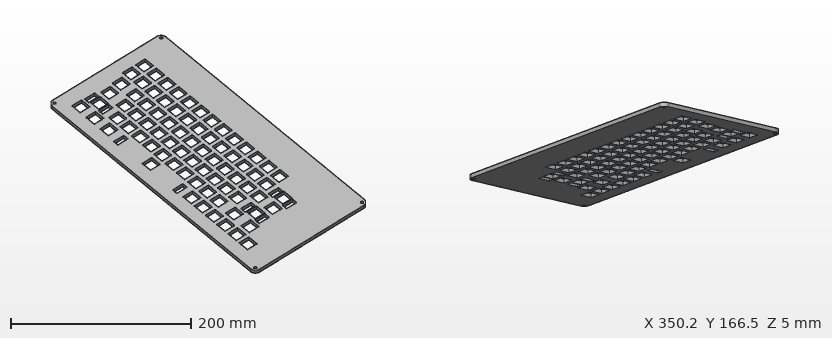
import cadquery as cq

plate_length = 350.2
plate_width = 166.5
plate_thickness = 5.0
corner_radius = 7.0

screw_diameter = 3.4
screw_inset = 5.0

grid_length = 305.0
grid_length_in_keys = 16
key_unit = grid_length / grid_length_in_keys
switch_size = 14.0
grid_left_edge = -159.5
top_row_y = 36.0

stabilizer_width = 7.0
stabilizer_height = 14.7
stabilizer_drop = 1.23
short_stabilizer_reach = 12.0
space_stabilizer_reach = 50.0

stabilized_key_width = 2
space_bar_width = 6.25

key_rows = [
    [1] * 13,
    [1] * 13 + [2],
    [1.5] + [1] * 12 + [1.5],
    [1.75] + [1] * 11 + [2.25],
    [2.25] + [1] * 10 + [1.75, 1],
    [1.25] * 3 + [space_bar_width] + [1] * 6,
]


def key_positions():
    """List the (x, y, width in key units) of every key."""
    keys = []
    for row, widths in enumerate(key_rows):
        y = top_row_y - row * key_unit
        left_edge = grid_left_edge
        for width in widths:
            keys.append((left_edge + width * key_unit / 2, y, width))
            left_edge += width * key_unit
    return keys


def stabilizer_positions(keys):
    """List the centres of the cutouts on both sides of each wide key."""
    centres = []
    for x, y, width in keys:
        if width < stabilized_key_width:
            continue
        reach = space_stabilizer_reach if width == space_bar_width else short_stabilizer_reach
        for side in (-1, 1):
            centres.append((x + side * reach, y - stabilizer_drop))
    return centres


def make_plate():
    """Make the flat plate with rounded corners and its screw holes."""
    return (
        cq.Workplane("XY")
        .box(plate_length, plate_width, plate_thickness)
        .edges("|Z")
        .fillet(corner_radius)
        .faces(">Z")
        .workplane()
        .rect(plate_length - 2 * screw_inset, plate_width - 2 * screw_inset, forConstruction=True)
        .vertices()
        .hole(screw_diameter)
    )


def cut_windows(body, centres, length, width):
    """Cut equal rectangular windows through the plate."""
    return (
        body.faces(">Z")
        .workplane(origin=(0, 0, 0))
        .pushPoints(centres)
        .rect(length, width)
        .cutThruAll()
    )


keys = key_positions()
switch_centres = [(x, y) for x, y, width in keys]

plate = make_plate()
plate = cut_windows(plate, switch_centres, switch_size, switch_size)
result = cut_windows(plate, stabilizer_positions(keys), stabilizer_width, stabilizer_height)